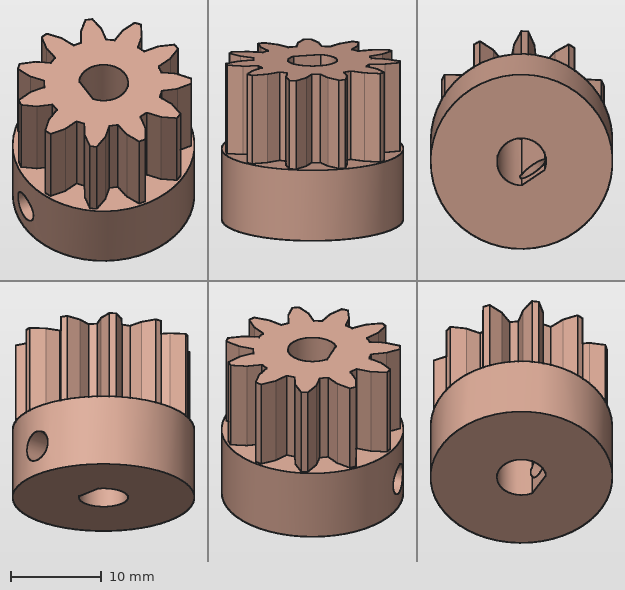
import cadquery as cq
import math

hub_diameter = 20
hub_height = 8

gear_height = 10
tooth_count = 11
first_tooth_angle = 94.4
tip_radius = 9.65
tip_width = 0.75
flank_radius = 8.15
flank_width = 2.28
root_radius = 6.52
root_width = 2.75

bore_radius = 2.7
bore_flat_distance = 2.22

screw_hole_diameter = 3.4
screw_hole_height = 3.4

total_height = hub_height + gear_height


def polar_point(radius, angle):
    return radius * math.cos(angle), radius * math.sin(angle)


def gear_outline():
    """Return the tooth corners counterclockwise around the gear."""
    stations = [(root_radius, root_width), (flank_radius, flank_width), (tip_radius, tip_width)]
    half_tooth = [(radius, math.asin(width / 2 / radius)) for radius, width in stations]
    points = []
    for tooth in range(tooth_count):
        center = math.radians(first_tooth_angle + tooth * 360 / tooth_count)
        points += [polar_point(radius, center - offset) for radius, offset in half_tooth]
        points += [polar_point(radius, center + offset) for radius, offset in reversed(half_tooth)]
    return points


def shaft_bore():
    """Return the full-height round bore with its flat side left solid."""
    round_bore = cq.Workplane("XY").circle(bore_radius).extrude(total_height)
    flat_side = cq.Workplane("XY").box(
        2 * bore_radius, bore_radius, total_height, centered=(True, False, False)
    ).translate((0, -bore_flat_distance - bore_radius, 0))
    return round_bore.cut(flat_side)


def screw_hole():
    """Return the hole from the shaft axis out through the -Y side."""
    return (
        cq.Workplane("XZ")
        .center(0, screw_hole_height)
        .circle(screw_hole_diameter / 2)
        .extrude(hub_diameter / 2)
    )


hub = cq.Workplane("XY").circle(hub_diameter / 2).extrude(hub_height)
gear = (
    cq.Workplane("XY")
    .workplane(offset=hub_height)
    .polyline(gear_outline())
    .close()
    .extrude(gear_height)
)

result = hub.union(gear).cut(shaft_bore()).cut(screw_hole())